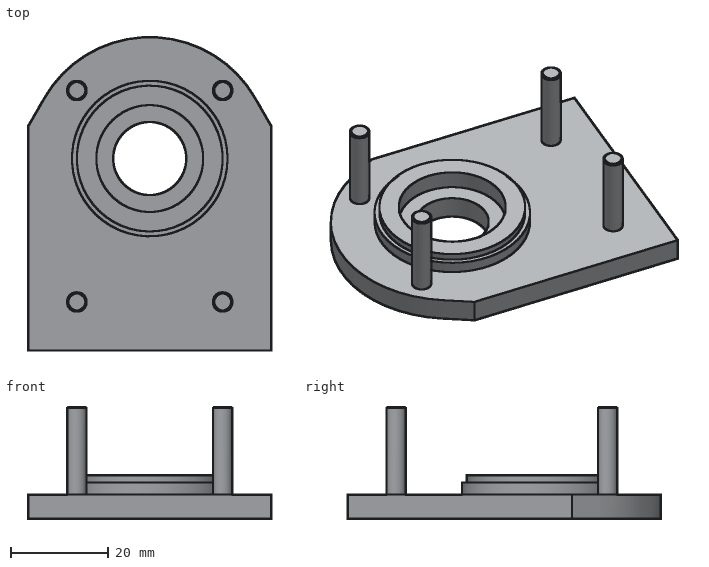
import cadquery as cq
import math

PLATE_WIDTH = 50.0
PLATE_LENGTH = 64.5
PLATE_THICKNESS = 5.0
END_RADIUS = PLATE_WIDTH / 2
FRONT_EDGE_Y = END_RADIUS - PLATE_LENGTH
FLAT_ANGLE = 30.0

BOSS_DIAMETER = 32.0
BOSS_HEIGHT = 2.5
RIM_DIAMETER = 30.0
RIM_HEIGHT = 1.5

BORE_DIAMETER = 15.0
SEAT_DIAMETER = 22.0
SEAT_DEPTH = 4.0

PIN_DIAMETER = 4.0
PIN_LENGTH = 18.0
PIN_CHAMFER = 0.25
PIN_SPACING_X = 30.0
PIN_SPACING_Y = 43.5
PIN_FRONT_MARGIN = 10.0

BOSS_TOP_Z = PLATE_THICKNESS + BOSS_HEIGHT + RIM_HEIGHT


def make_plate():
    """Plate with a round end, blended into the sides by tangent flats."""
    half_width = PLATE_WIDTH / 2
    angle = math.radians(FLAT_ANGLE)
    arc_x = END_RADIUS * math.cos(angle)
    arc_y = END_RADIUS * math.sin(angle)
    corner_y = (END_RADIUS - half_width * math.cos(angle)) / math.sin(angle)
    return (
        cq.Workplane("XY")
        .moveTo(-half_width, FRONT_EDGE_Y)
        .lineTo(half_width, FRONT_EDGE_Y)
        .lineTo(half_width, corner_y)
        .lineTo(arc_x, arc_y)
        .threePointArc((0, END_RADIUS), (-arc_x, arc_y))
        .lineTo(-half_width, corner_y)
        .close()
        .extrude(PLATE_THICKNESS)
    )


def make_cylinder(diameter, bottom_z, height):
    """Upright cylinder on the bore axis."""
    return cq.Workplane("XY", origin=(0, 0, bottom_z)).circle(diameter / 2).extrude(height)


def add_boss(body):
    boss = make_cylinder(BOSS_DIAMETER, PLATE_THICKNESS, BOSS_HEIGHT)
    rim = make_cylinder(RIM_DIAMETER, PLATE_THICKNESS + BOSS_HEIGHT, RIM_HEIGHT)
    return body.union(boss).union(rim)


def cut_bore(body):
    bore = make_cylinder(BORE_DIAMETER, 0, BOSS_TOP_Z)
    seat = make_cylinder(SEAT_DIAMETER, BOSS_TOP_Z - SEAT_DEPTH, SEAT_DEPTH)
    return body.cut(bore).cut(seat)


def add_pins(body):
    """Four upright pins with chamfered tips."""
    pin = make_cylinder(PIN_DIAMETER, PLATE_THICKNESS, PIN_LENGTH).faces(">Z").chamfer(PIN_CHAMFER)
    front_y = FRONT_EDGE_Y + PIN_FRONT_MARGIN
    for x in (-PIN_SPACING_X / 2, PIN_SPACING_X / 2):
        for y in (front_y, front_y + PIN_SPACING_Y):
            body = body.union(pin.translate((x, y, 0)))
    return body


result = add_pins(cut_bore(add_boss(make_plate())))